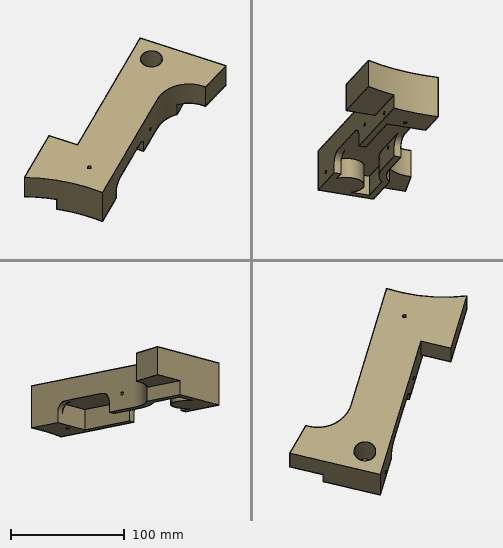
import cadquery as cq
import math

length = 192.5
width = 110.0
height = 38.1
wall = 6.4

stem_left = 27.3
stem_right = 70.3
foot_back = 54.3
arm_front = 162.2
arm_tip_x = 103.5
corner_radius = 30.5
front_crown_x = 58.4
front_crown_y = 11.5

step_height = 12.7
arm_step_x = 79.7

socket_diameter = 19.0
socket_x = 46.5
socket_y = 173.7
socket_floor = wall
foot_hole_diameter = 3.0
foot_hole_x = 47.8
foot_hole_y = 33.9

window_length = 60.0
window_height = 18.5
window_radius = 9.2
left_window_front = 93.6
right_window_back = 101.9

cross_hole_diameter = 2.7
wall_hole_z = 14.6
left_wall_hole_y = 79.5
right_wall_hole_y = 116.7
socket_pin_y = 174.1
socket_pin_z = 9.6
foot_pin_y = 32.4
foot_pin_z = 5.4

corner_x = stem_right + corner_radius
corner_y = arm_front - corner_radius
arm_tip_y = corner_y + math.sqrt(corner_radius**2 - (arm_tip_x - corner_x) ** 2)
cavity_left = stem_left + wall
cavity_right = stem_right - wall
cavity_back = length - wall
cavity_arm_x = arm_step_x - wall
boss_radius = socket_diameter / 2 + wall
right_window_front = right_window_back - window_length
cavity_front = right_window_front


def box(x0, x1, y0, y1, z0, z1):
    """Box given by its limits along each axis."""
    return cq.Workplane("XY").box(x1 - x0, y1 - y0, z1 - z0, centered=False).translate((x0, y0, z0))


def vertical_cylinder(x, y, diameter, z0, z1):
    return cq.Workplane("XY", origin=(x, y, z0)).circle(diameter / 2).extrude(z1 - z0)


def cross_hole(y, z, x0, x1):
    """Small hole along X between x0 and x1."""
    return cq.Workplane("YZ", origin=(x0, y, z)).circle(cross_hole_diameter / 2).extrude(x1 - x0)


def front_edge_y(x):
    """Y of the circular front edge, which starts at the origin and peaks at the crown."""
    radius = (front_crown_x**2 + front_crown_y**2) / (2 * front_crown_y)
    return front_crown_y - radius + math.sqrt(radius**2 - (x - front_crown_x) ** 2)


def body():
    """Full-height plan outline with the undersides of foot and arm raised."""
    diagonal = corner_radius * math.sqrt(0.5)
    outline = (
        cq.Workplane("XY")
        .moveTo(0, 0)
        .threePointArc((stem_left, front_edge_y(stem_left)), (stem_right, front_edge_y(stem_right)))
        .lineTo(stem_right, corner_y)
        .threePointArc((corner_x - diagonal, corner_y + diagonal), (arm_tip_x, arm_tip_y))
        .lineTo(width, length)
        .lineTo(stem_left, length)
        .lineTo(stem_left, foot_back)
        .lineTo(0, foot_back)
        .close()
        .extrude(height)
    )
    foot_step = box(0, stem_left, 0, foot_back, 0, step_height)
    arm_step = box(arm_step_x, width, corner_y, length, 0, step_height)
    return outline.cut(foot_step).cut(arm_step)


def cavity():
    """Open-bottom pocket that keeps one wall thickness along the stem, corner, head and socket."""
    inner_radius = corner_radius + wall
    sweep = math.acos((corner_x - cavity_arm_x) / inner_radius)

    def corner_point(angle):
        return (corner_x - inner_radius * math.cos(angle), corner_y + inner_radius * math.sin(angle))

    pocket = (
        cq.Workplane("XY")
        .moveTo(cavity_left, cavity_front)
        .lineTo(cavity_right, cavity_front)
        .lineTo(cavity_right, corner_y)
        .threePointArc(corner_point(sweep / 2), corner_point(sweep))
        .lineTo(cavity_arm_x, cavity_back)
        .lineTo(cavity_left, cavity_back)
        .close()
        .extrude(window_height)
    )
    boss = vertical_cylinder(socket_x, socket_y, 2 * boss_radius, 0, window_height)
    boss_corner = box(stem_left, socket_x, socket_y, length, 0, window_height)
    return pocket.cut(boss).cut(boss_corner)


def window(x0, y0):
    """Wall opening with rounded upper corners, open at the bottom."""
    opening = box(x0, x0 + wall, y0, y0 + window_length, 0, window_height)
    return opening.edges("|X and >Z").fillet(window_radius)


result = (
    body()
    .cut(cavity())
    .cut(window(stem_left, left_window_front))
    .cut(window(cavity_right, right_window_front))
    .cut(vertical_cylinder(socket_x, socket_y, socket_diameter, socket_floor, height))
    .cut(vertical_cylinder(foot_hole_x, foot_hole_y, foot_hole_diameter, 0, height))
    .cut(cross_hole(left_wall_hole_y, wall_hole_z, stem_left, cavity_left))
    .cut(cross_hole(right_wall_hole_y, wall_hole_z, cavity_right, stem_right))
    .cut(cross_hole(socket_pin_y, socket_pin_z, stem_left, socket_x))
    .cut(cross_hole(foot_pin_y, foot_pin_z, stem_left, cavity_left))
)